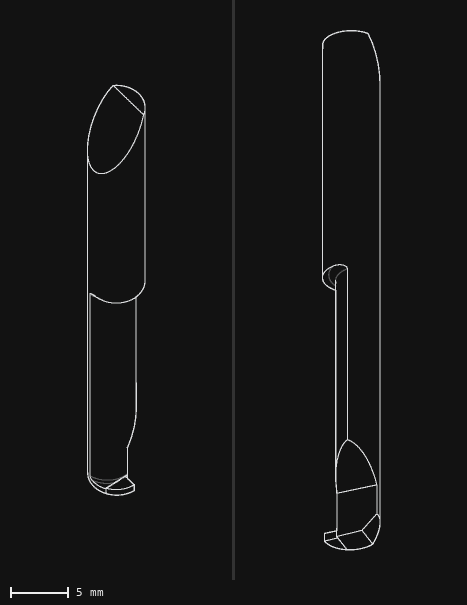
import cadquery as cq
import math

BAR_LENGTH = 49.5
BAR_RADIUS = 2.5

NECK_SHIFT = 1.25
SHOULDER_HEIGHT = 26.05
SHOULDER_FILLET = 0.6

LIP_HEIGHT = 0.7
LIP_FILLET = 0.2

TIP_THICKNESS = 0.8
TIP_INNER_X = BAR_RADIUS - NECK_SHIFT
TIP_RAKE_Y = 0.0
END_CLEARANCE_ANGLE = 2.0

SLOPE_ANGLE = 30.0
TOP_FLAT_Y = 1.35
RAKE_FACE_Y = 0.25
RAKE_FACE_HEIGHT = 4.4

RELIEF_WIDTH = 1.55
RELIEF_HEIGHT = 1.5

MARGIN = 1.0
REACH = BAR_RADIUS + MARGIN


def rod(height):
    """Cylinder of the bar's radius."""
    return cq.Workplane("XY").circle(BAR_RADIUS).extrude(height)


def side_prism(points):
    """Prism across the full width in X, from an outline of (y, z) points."""
    return cq.Workplane("YZ").polyline(points).close().extrude(REACH, both=True)


def top_slope():
    """Wedge above the sloping face at the -Y side of the top."""
    drop = (TOP_FLAT_Y + REACH) / math.tan(math.radians(SLOPE_ANGLE))
    return side_prism([(TOP_FLAT_Y, BAR_LENGTH), (-REACH, BAR_LENGTH), (-REACH, BAR_LENGTH - drop)])


def rake_cut():
    """Flat face near the axis at the lower end, running out in a slope to +Y."""
    rise = (REACH - RAKE_FACE_Y) / math.tan(math.radians(SLOPE_ANGLE))
    return side_prism([
        (RAKE_FACE_Y, -MARGIN),
        (RAKE_FACE_Y, RAKE_FACE_HEIGHT),
        (REACH, RAKE_FACE_HEIGHT + rise),
        (REACH, -MARGIN),
    ])


def corner_relief():
    """Triangular prism under the -X corner."""
    return (
        cq.Workplane("XZ")
        .moveTo(-BAR_RADIUS, 0)
        .lineTo(-BAR_RADIUS + RELIEF_WIDTH, 0)
        .lineTo(-BAR_RADIUS, RELIEF_HEIGHT)
        .close()
        .extrude(REACH, both=True)
    )


def neck_envelope():
    """Shifted neck cylinder flaring through concave fillets into the lip and the shoulder."""
    lip_radius = BAR_RADIUS + LIP_FILLET
    lip_end = LIP_HEIGHT + LIP_FILLET
    lip_bend = LIP_FILLET * math.sqrt(0.5)
    flare_radius = BAR_RADIUS + SHOULDER_FILLET
    flare_start = SHOULDER_HEIGHT - SHOULDER_FILLET
    outer = BAR_RADIUS + NECK_SHIFT + MARGIN
    bend = SHOULDER_FILLET * math.sqrt(0.5)
    return (
        cq.Workplane("XZ")
        .lineTo(outer, 0)
        .lineTo(outer, LIP_HEIGHT)
        .lineTo(lip_radius, LIP_HEIGHT)
        .threePointArc((lip_radius - lip_bend, lip_end - lip_bend), (BAR_RADIUS, lip_end))
        .lineTo(BAR_RADIUS, flare_start)
        .threePointArc((flare_radius - bend, flare_start + bend), (flare_radius, SHOULDER_HEIGHT))
        .lineTo(outer, SHOULDER_HEIGHT)
        .lineTo(outer, BAR_LENGTH)
        .lineTo(0, BAR_LENGTH)
        .close()
        .revolve(360, (0, 0, 0), (0, 1, 0))
        .translate((-NECK_SHIFT, 0, 0))
    )


def end_clearance():
    """Thin wedge under the lower end, which rises from the tip's outer corner towards -X."""
    width = 2 * BAR_RADIUS
    rise = width * math.tan(math.radians(END_CLEARANCE_ANGLE))
    return (
        cq.Workplane("XZ")
        .moveTo(BAR_RADIUS, 0)
        .lineTo(BAR_RADIUS - width, 0)
        .lineTo(BAR_RADIUS - width, rise)
        .close()
        .extrude(REACH, both=True)
    )


def tip_zone():
    """Block on the +X side that holds the whole thickness of the cutting tip."""
    return cq.Workplane("XY").box(REACH, 2 * REACH, TIP_THICKNESS, centered=False).translate(
        (TIP_INNER_X, -REACH, 0)
    )


def behind_rake():
    """Block on the +Y side of the tip's rake face."""
    return cq.Workplane("XY").box(2 * REACH, REACH, TIP_THICKNESS, centered=False).translate(
        (-REACH, TIP_RAKE_Y, 0)
    )


def make_holder():
    """Shank, neck and lip, with the sloping cuts and end relief."""
    return (
        rod(BAR_LENGTH)
        .intersect(neck_envelope())
        .cut(top_slope())
        .cut(rake_cut())
        .cut(corner_relief())
        .cut(end_clearance())
        .cut(tip_zone())
    )


def make_tip():
    """Cutting tip cut from a disc of the bar's radius, with its flat rake face towards +Y."""
    return rod(TIP_THICKNESS).intersect(tip_zone()).cut(behind_rake()).cut(end_clearance())


holder = make_holder()
tip = make_tip()

result = cq.Compound.makeCompound([holder.val(), tip.val()])